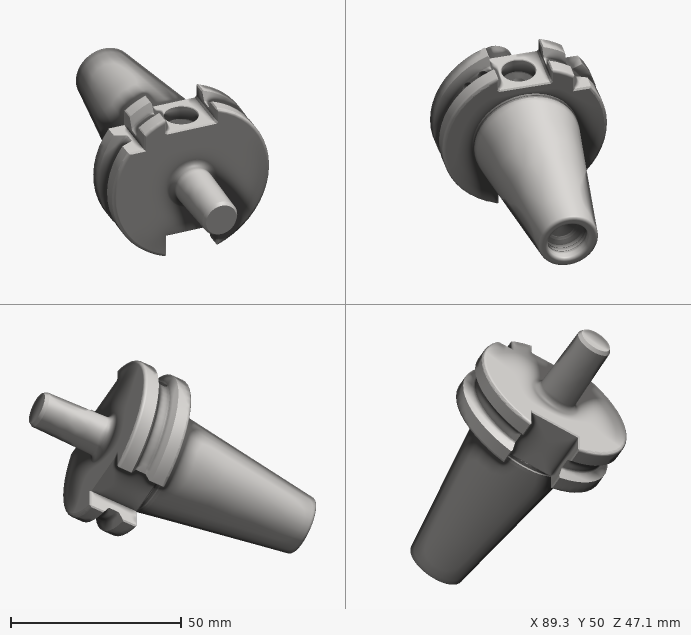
import cadquery as cq
import math

TOTAL_LENGTH = 89.3
TAPER_LENGTH = 47.8
FLANGE_START = 3.2
FLANGE_WIDTH = 15.9
FLANGE_END = FLANGE_START + FLANGE_WIDTH
FLANGE_MIDDLE = FLANGE_START + FLANGE_WIDTH / 2
ARBOR_END = TOTAL_LENGTH - TAPER_LENGTH

TAPER_SLOPE = 7 / 48
GAUGE_RADIUS = 31.75 / 2
SHANK_END_FILLET = 1.05
LAND_START = 0.6
LAND_END = 1.65
NECK_RELIEF = 0.3
NECK_FILLET = 0.45

FLANGE_RADIUS = 25.0
FLANGE_FILLET = 1.0
GROOVE_FLOOR_RADIUS = 22.15
GROOVE_FLOOR_WIDTH = 3.3
GROOVE_HALF_ANGLE = math.radians(30)
GROOVE_FILLET = 0.6

ARBOR_BASE_RADIUS = 12.065 / 2
ARBOR_TIP_RADIUS = 5.55
ARBOR_BASE_FILLET = 1.85
ARBOR_CHAMFER_LENGTH = 1.1
ARBOR_CHAMFER_DROP = 0.7

BORE_RADIUS = 6.15
BORE_DEPTH = 6.65
BORE_MOUTH_FILLET = 1.05
BORE_RING_DEPTH = 0.1
BORE_RING_WIDTH = 0.8
BORE_RING_STARTS = (2.9, 4.45)
CORE_MOUTH_RADIUS = 4.84
CORE_RADIUS = 4.3
CORE_LENGTH = 1.0
DRILL_HALF_ANGLE = math.radians(59)

SLOT_HALF_WIDTH = 8.05
SLOT_CHAMFER = 0.4
TOP_SLOT_FLOOR = 19.0
TOP_SLOT_CORNER = 0.55
BOTTOM_SLOT_FLOOR = 16.4

NOTCH_WALL = 15.0
NOTCH_FLOOR = 14.9
NOTCH_CHAMFER = 0.5
NOTCH_RIM_CHAMFER = 0.3

POCKET_RADIUS = 5.05
POCKET_DEPTH = 4.6
POCKET_CHAMFER = 0.2
POCKET_TIP_RADIUS = 2.1

HOLE_RADIUS = 1.75
HOLE_DEPTH = 5.0
HOLE_ANGLES = (30, 45, 70)

CLEARANCE = 1.0


def revolve_about_x(profile):
    return profile.close().revolve(360, (0, 0, 0), (1, 0, 0))


def make_shank():
    end_radius = GAUGE_RADIUS - TAPER_LENGTH * TAPER_SLOPE
    land_radius = GAUGE_RADIUS + LAND_START * TAPER_SLOPE
    neck_radius = land_radius - NECK_RELIEF
    shank = revolve_about_x(
        cq.Workplane("XY")
        .moveTo(-TAPER_LENGTH, 0)
        .lineTo(-TAPER_LENGTH, end_radius)
        .lineTo(LAND_START, land_radius)
        .lineTo(LAND_END, land_radius)
        .lineTo(LAND_END + NECK_RELIEF, neck_radius)
        .lineTo(FLANGE_START - NECK_FILLET, neck_radius)
        .radiusArc((FLANGE_START, neck_radius + NECK_FILLET), NECK_FILLET)
        .lineTo(FLANGE_START, 0)
    )
    return shank.faces("<X").edges().fillet(SHANK_END_FILLET)


def make_groove():
    floor_half = GROOVE_FLOOR_WIDTH / 2
    outer_radius = FLANGE_RADIUS + CLEARANCE
    mouth_half = floor_half + (outer_radius - GROOVE_FLOOR_RADIUS) * math.tan(GROOVE_HALF_ANGLE)
    ring = revolve_about_x(
        cq.Workplane("XY")
        .moveTo(FLANGE_MIDDLE - mouth_half, outer_radius)
        .lineTo(FLANGE_MIDDLE - floor_half, GROOVE_FLOOR_RADIUS)
        .lineTo(FLANGE_MIDDLE + floor_half, GROOVE_FLOOR_RADIUS)
        .lineTo(FLANGE_MIDDLE + mouth_half, outer_radius)
    )
    floor_edges = cq.selectors.RadiusNthSelector(0)
    return ring.edges("%CIRCLE").edges(floor_edges).fillet(GROOVE_FILLET)


def make_flange():
    disc = (
        cq.Workplane("YZ", origin=(FLANGE_START, 0, 0))
        .circle(FLANGE_RADIUS)
        .extrude(FLANGE_WIDTH)
        .faces("<X or >X")
        .edges()
        .fillet(FLANGE_FILLET)
    )
    return disc.cut(make_groove())


def make_arbor():
    root_radius = ARBOR_BASE_RADIUS + ARBOR_BASE_FILLET
    return revolve_about_x(
        cq.Workplane("XY")
        .moveTo(FLANGE_MIDDLE, 0)
        .lineTo(FLANGE_MIDDLE, root_radius)
        .lineTo(FLANGE_END, root_radius)
        .radiusArc((FLANGE_END + ARBOR_BASE_FILLET, ARBOR_BASE_RADIUS), -ARBOR_BASE_FILLET)
        .lineTo(ARBOR_END - ARBOR_CHAMFER_LENGTH, ARBOR_TIP_RADIUS)
        .lineTo(ARBOR_END, ARBOR_TIP_RADIUS - ARBOR_CHAMFER_DROP)
        .lineTo(ARBOR_END, 0)
    )


def drill_cone_length(radius_change):
    return radius_change / math.tan(DRILL_HALF_ANGLE)


def make_bore():
    face = -TAPER_LENGTH
    shoulder = face + BORE_DEPTH
    core_start = shoulder + drill_cone_length(BORE_RADIUS - CORE_MOUTH_RADIUS)
    core_chamfer = CORE_MOUTH_RADIUS - CORE_RADIUS
    core_end = core_start + CORE_LENGTH
    bore = revolve_about_x(
        cq.Workplane("XY")
        .moveTo(face, 0)
        .lineTo(face, BORE_RADIUS + BORE_MOUTH_FILLET)
        .radiusArc((face + BORE_MOUTH_FILLET, BORE_RADIUS), -BORE_MOUTH_FILLET)
        .lineTo(shoulder, BORE_RADIUS)
        .lineTo(core_start, CORE_MOUTH_RADIUS)
        .lineTo(core_start + core_chamfer, CORE_RADIUS)
        .lineTo(core_end, CORE_RADIUS)
        .lineTo(core_end + drill_cone_length(CORE_RADIUS), 0)
    )
    for start in BORE_RING_STARTS:
        ring = (
            cq.Workplane("YZ", origin=(face + start, 0, 0))
            .circle(BORE_RADIUS + BORE_RING_DEPTH)
            .extrude(BORE_RING_WIDTH)
        )
        bore = bore.union(ring)
    return bore


def slot_outline(floor, corner, growth):
    """Slot symmetric about Y = 0 and open towards +Z, widened by growth."""
    wall = SLOT_HALF_WIDTH + growth
    rim_half = wall + SLOT_CHAMFER
    rim = math.sqrt(FLANGE_RADIUS**2 - rim_half**2)
    bottom = floor - growth
    right = [(wall - corner, bottom)]
    if corner > 0:
        right.append((wall, bottom + corner))
    right += [
        (wall, rim - SLOT_CHAMFER),
        (rim_half, rim),
        (rim_half, FLANGE_RADIUS + CLEARANCE),
    ]
    left = [(-y, z) for y, z in reversed(right)]
    return right + left


def notch_outline(growth):
    """Notch open towards -Y and +Z, widened by growth."""
    wall = NOTCH_WALL - growth
    rim_wall = wall - NOTCH_RIM_CHAMFER
    rim = math.sqrt(FLANGE_RADIUS**2 - rim_wall**2)
    outside = FLANGE_RADIUS + CLEARANCE
    floor = NOTCH_FLOOR - growth
    return [
        (-outside, floor),
        (-wall, floor),
        (-wall, rim - NOTCH_RIM_CHAMFER),
        (-rim_wall, rim),
        (-rim_wall, outside),
        (-outside, outside),
    ]


def cut_along_flange(outline, wide_outline, chamfer):
    """Cutter through the flange that flares out to wide_outline at both flange faces."""
    cutter = (
        cq.Workplane("YZ", origin=(FLANGE_START, 0, 0))
        .polyline(outline)
        .close()
        .extrude(FLANGE_WIDTH)
    )
    for face, inward in ((FLANGE_START, 1), (FLANGE_END, -1)):
        flare = (
            cq.Workplane("YZ", origin=(face, 0, 0))
            .polyline(wide_outline)
            .close()
            .workplane(offset=inward * chamfer)
            .polyline(outline)
            .close()
            .loft(ruled=True)
        )
        cutter = cutter.union(flare)
    return cutter


def make_slot(floor, corner):
    return cut_along_flange(
        slot_outline(floor, corner, 0), slot_outline(floor, corner, SLOT_CHAMFER), SLOT_CHAMFER
    )


def make_notch():
    return cut_along_flange(notch_outline(0), notch_outline(NOTCH_CHAMFER), NOTCH_CHAMFER)


def make_pocket():
    floor = TOP_SLOT_FLOOR - POCKET_DEPTH
    return (
        cq.Workplane("XZ", origin=(FLANGE_MIDDLE, 0, 0))
        .moveTo(0, TOP_SLOT_FLOOR)
        .lineTo(POCKET_RADIUS + POCKET_CHAMFER, TOP_SLOT_FLOOR)
        .lineTo(POCKET_RADIUS, TOP_SLOT_FLOOR - POCKET_CHAMFER)
        .lineTo(POCKET_RADIUS, floor + POCKET_CHAMFER)
        .lineTo(POCKET_RADIUS - POCKET_CHAMFER, floor)
        .lineTo(POCKET_TIP_RADIUS, floor)
        .lineTo(0, floor - drill_cone_length(POCKET_TIP_RADIUS))
        .close()
        .revolve(360, (0, 0, 0), (0, 1, 0))
    )


def make_groove_hole(angle):
    return (
        cq.Workplane("XY", origin=(FLANGE_MIDDLE, 0, GROOVE_FLOOR_RADIUS - HOLE_DEPTH))
        .circle(HOLE_RADIUS)
        .extrude(HOLE_DEPTH + CLEARANCE)
        .rotate((0, 0, 0), (1, 0, 0), -angle)
    )


top_slot = make_slot(TOP_SLOT_FLOOR, TOP_SLOT_CORNER)
bottom_slot = make_slot(BOTTOM_SLOT_FLOOR, 0).rotate((0, 0, 0), (1, 0, 0), 180)

flange = make_flange().cut(top_slot).cut(bottom_slot).cut(make_notch())
for hole_angle in HOLE_ANGLES:
    flange = flange.cut(make_groove_hole(hole_angle))

result = flange.union(make_shank()).union(make_arbor())
result = result.cut(make_pocket()).cut(make_bore())